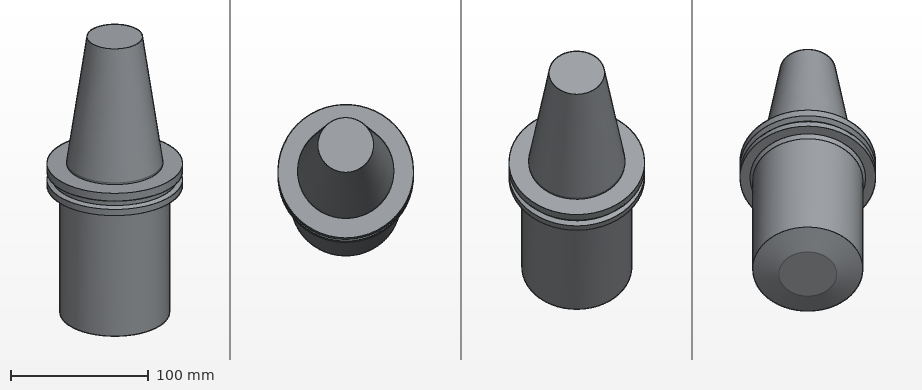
import cadquery as cq

total_height = 228.5
body_bottom = 5.5
body_top = 104.7
flange_bottom = 108.0
lower_rim_top = 113.0
groove_bottom = 114.3
groove_top = 118.0
upper_rim_bottom = 119.5
flange_top = 126.0
taper_bottom = 127.3

tip_diameter = 42.0
body_diameter = 80.0
collar_diameter = 84.0
flange_diameter = 98.5
groove_diameter = 91.2
taper_large_diameter = 70.0

taper_ratio = 7 / 24
taper_small_diameter = taper_large_diameter - taper_ratio * (total_height - taper_bottom)


def revolved(profile):
    """Revolve (diameter, height) points, listed bottom to top, about Z."""
    outline = [(diameter / 2, height) for diameter, height in profile]
    axis_bottom = (0, profile[0][1])
    axis_top = (0, profile[-1][1])
    section = cq.Workplane("XZ").polyline([axis_bottom] + outline + [axis_top]).close()
    return section.revolve(360, (0, 0, 0), (0, 1, 0))


body = revolved([
    (tip_diameter, 0),
    (body_diameter, body_bottom),
    (body_diameter, body_top),
    (collar_diameter, flange_bottom),
])

flange = revolved([
    (flange_diameter, flange_bottom),
    (flange_diameter, lower_rim_top),
    (groove_diameter, groove_bottom),
    (groove_diameter, groove_top),
    (flange_diameter, upper_rim_bottom),
    (flange_diameter, flange_top),
])

shank = revolved([
    (taper_large_diameter, flange_top),
    (taper_large_diameter, taper_bottom),
    (taper_small_diameter, total_height),
])

result = body.union(flange).union(shank)